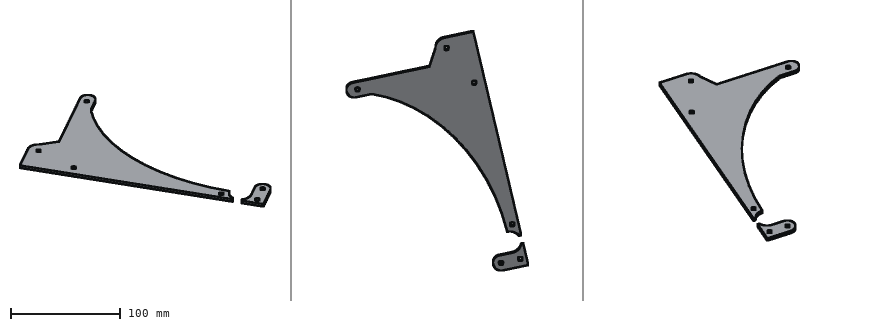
import cadquery as cq
import math

total_length = 230.5
total_height = 125.5
thickness = 3.0
hole_diameter = 4.0
edge_hole_height = 5.8

cove_radius = 10.4
cove_x = 205.5
cove_y = 11.5
toe_gap = 8.5
cove_left = cove_x - cove_radius
cove_right = cove_x + cove_radius
bracket_toe_x = cove_x - toe_gap / 2
foot_toe_x = cove_x + toe_gap / 2

arm_left = 24.2
arm_width = 14.3
arm_radius = arm_width / 2
arm_right = arm_left + arm_width
arm_x = arm_left + arm_radius
arm_round_y = total_height - arm_radius
arm_hole_y = 115.0
shoulder_top_y = 46.3
shoulder_angle = math.radians(30)
corner_radius = 10.1
corner_y = 27.2

shoulder_rise = shoulder_top_y - (arm_left - corner_radius) * math.tan(shoulder_angle) - corner_y
shoulder_offset = shoulder_rise * math.cos(shoulder_angle)
meeting_angle = math.pi / 2 + shoulder_angle - math.acos(shoulder_offset / corner_radius)
meeting_x = corner_radius + corner_radius * math.cos(meeting_angle)
meeting_y = corner_y + corner_radius * math.sin(meeting_angle)

middle_hole = (48.2, 10.0)
toe_hole_x = 189.0

sweep_x = 197.5
sweep_y = 143.2
sweep_radius_x = 167.0
sweep_radius_y = 131.5

foot_width = total_length - cove_right
foot_radius = foot_width / 2
foot_x = total_length - foot_radius
foot_round_y = 23.7


def disc(x, y, radius):
    return cq.Workplane("XY").center(x, y).circle(radius).extrude(thickness)


def plate(points):
    return cq.Workplane("XY").polyline(points).close().extrude(thickness)


def drill(body, centers):
    cutter = cq.Workplane("XY").pushPoints(centers).circle(hole_diameter / 2).extrude(thickness)
    return body.cut(cutter)


def rounded_arm(left, right, bottom, round_y):
    """Upright strip that ends in a half circle."""
    return (
        cq.Workplane("XY")
        .moveTo(left, bottom)
        .lineTo(right, bottom)
        .lineTo(right, round_y)
        .threePointArc(((left + right) / 2, round_y + (right - left) / 2), (left, round_y))
        .close()
        .extrude(thickness)
    )


def sweep_opening():
    """Part of the ellipse to the right of the arm."""
    ellipse = (
        cq.Workplane("XY").center(sweep_x, sweep_y)
        .ellipse(sweep_radius_x, sweep_radius_y).extrude(thickness)
    )
    beside_arm = plate([(arm_right, 0), (sweep_x, 0), (sweep_x, sweep_y), (arm_right, sweep_y)])
    return ellipse.intersect(beside_arm)


def make_bracket():
    body = plate([
        (0, 0),
        (bracket_toe_x, 0),
        (bracket_toe_x, cove_y),
        (cove_left, cove_y),
        (cove_left, arm_round_y),
        (arm_left, arm_round_y),
        (arm_left, shoulder_top_y),
        (meeting_x, meeting_y),
        (corner_radius, corner_y),
        (0, corner_y),
    ])
    body = body.union(disc(corner_radius, corner_y, corner_radius))
    body = body.cut(sweep_opening())
    body = body.union(rounded_arm(arm_left, arm_right, shoulder_top_y, arm_round_y))
    body = body.cut(disc(cove_x, cove_y, cove_radius))
    return drill(body, [
        (arm_x, arm_hole_y),
        (corner_radius, corner_y),
        middle_hole,
        (toe_hole_x, edge_hole_height),
    ])


def make_foot():
    toe = plate([(foot_toe_x, 0), (cove_right, 0), (cove_right, cove_y), (foot_toe_x, cove_y)])
    body = rounded_arm(cove_right, total_length, 0, foot_round_y).union(toe)
    body = body.cut(disc(cove_x, cove_y, cove_radius))
    return drill(body, [(foot_x, foot_round_y), (foot_x, edge_hole_height)])


bracket = make_bracket()
foot = make_foot()

result = cq.Compound.makeCompound([bracket.solids().val(), foot.solids().val()])